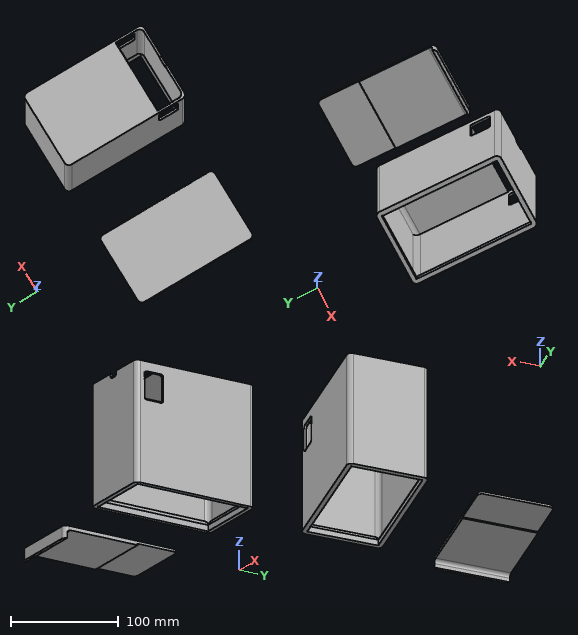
import cadquery as cq
import math

total_length = 205.3
corner_radius = 5.0

housing_width = 80.0
housing_depth = 130.0
housing_height = 122.0
wall = 2.5
roof = 2.5
opening_depth = 27.7

rim_wall = 5.0
rim_height = 6.2
rim_slope = 60.0

notch_width = 10.0
notch_depth = 5.1
notch_radius = 2.9

window_depth = 20.5
window_height = 28.5
window_front_gap = 9.5
window_top_gap = 9.9
window_radius = 3.0

lid_width = 75.0
lid_depth = 124.0
lid_front_gap = 2.3
plate_thin = 2.9
plate_thick = 4.3
thin_depth = 44.1
lip_height = 12.5
lip_thickness = 3.3
lip_fillet = 3.7

lid_center_x = lid_width / 2
housing_center_x = total_length - housing_width / 2
inner_width = housing_width - 2 * wall
inner_depth = housing_depth - 2 * wall
rim_inset = rim_wall - wall
rim_slope_height = rim_inset * math.tan(math.radians(rim_slope))


def box_at(width, depth, height, center_x, front_y, bottom_z):
    """Upright box placed by its X centre, front face and bottom face."""
    return (
        cq.Workplane("XY")
        .box(width, depth, height, centered=(True, False, False))
        .translate((center_x, front_y, bottom_z))
    )


def housing_cavity():
    """Inside space, narrowing to the thick rim at the open bottom."""
    slope_top = rim_height + rim_slope_height
    chamber = box_at(
        inner_width, inner_depth, housing_height - roof - slope_top, housing_center_x, wall, slope_top
    )
    chamber = chamber.edges(">Y and >Z").fillet(corner_radius)
    slope = (
        cq.Workplane("XY")
        .workplane(offset=slope_top)
        .center(housing_center_x, housing_depth / 2)
        .rect(inner_width, inner_depth)
        .extrude(-rim_slope_height, taper=90 - rim_slope)
    )
    mouth = box_at(
        housing_width - 2 * rim_wall, housing_depth - 2 * rim_wall, rim_height,
        housing_center_x, rim_wall, 0,
    )
    rounded_limit = box_at(inner_width, inner_depth, housing_height, housing_center_x, wall, 0)
    rounded_limit = rounded_limit.edges("|Z").fillet(corner_radius)
    return chamber.union(slope).union(mouth).intersect(rounded_limit)


def roof_opening():
    """Opening at the front of the roof, flush with the inside of the walls."""
    bottom_z = housing_height - roof
    opening = box_at(inner_width, opening_depth, roof, housing_center_x, wall, bottom_z)
    return opening.edges("|Z and <Y").fillet(corner_radius)


def finger_notch():
    """Round-bottomed notch in the top edge of the front wall."""
    notch = box_at(notch_width, wall, notch_depth, housing_center_x, 0, housing_height - notch_depth)
    return notch.edges("|Y and <Z").fillet(notch_radius)


def side_windows():
    """One cutter that passes through both side walls."""
    bottom_z = housing_height - window_top_gap - window_height
    window = box_at(
        housing_width, window_depth, window_height, housing_center_x, window_front_gap, bottom_z
    )
    return window.edges("|X").fillet(window_radius)


def make_housing():
    shell = box_at(housing_width, housing_depth, housing_height, housing_center_x, 0, 0)
    shell = shell.edges("|Z").fillet(corner_radius)
    for cutter in (housing_cavity(), roof_opening(), finger_notch(), side_windows()):
        shell = shell.cut(cutter)
    return shell


def hooked_plate():
    """Square-cornered plate, stepped underneath and hooked down at the front."""
    return (
        cq.Workplane("YZ")
        .moveTo(0, 0)
        .lineTo(lid_depth, 0)
        .lineTo(lid_depth, -plate_thin)
        .lineTo(lid_depth - thin_depth, -plate_thin)
        .lineTo(lid_depth - thin_depth, -plate_thick)
        .lineTo(lip_thickness + lip_fillet, -plate_thick)
        .radiusArc((lip_thickness, -plate_thick - lip_fillet), -lip_fillet)
        .lineTo(lip_thickness, -lip_height)
        .lineTo(0, -lip_height)
        .close()
        .extrude(lid_width)
        .translate((0, lid_front_gap, 0))
    )


def make_lid():
    """Hooked plate trimmed to the rounded outline."""
    outline = box_at(lid_width, lid_depth, lip_height, lid_center_x, lid_front_gap, -lip_height)
    return hooked_plate().intersect(outline.edges("|Z").fillet(corner_radius))


housing = make_housing()
lid = make_lid()
result = cq.Compound.makeCompound([housing.val(), lid.val()])